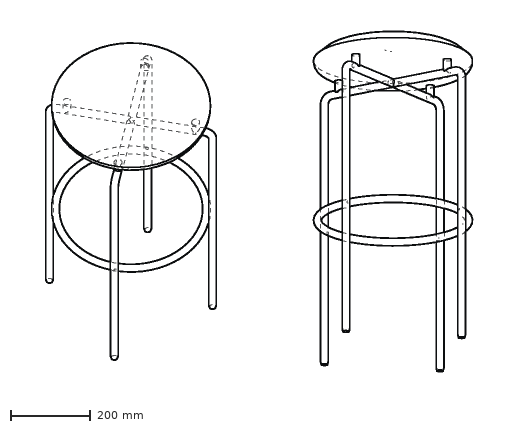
import cadquery as cq
import math

total_height = 800.0
outer_diameter = 401.0
outer_radius = outer_diameter / 2

tube_diameter = 20.0
tube_radius = tube_diameter / 2
leg_reach = 210.0
post_reach = 166.0
crossbar_height = 705.0
bend_radius = 21.0
ring_height = 344.0
foot_tip_diameter = 16.0
foot_taper_height = 8.0
foot_taper_inset = (tube_diameter - foot_tip_diameter) / 2
leg_angles = (45, 135, 225, 315)

seat_bottom = 739.0
underside_bulge = 0.7
rim_bottom = 759.5
rim_top = 765.0
underside_radius = 176.0
crown_radius = 107.0
dish_depth = 12.0
dish_slope = 0.12
shoulder_radius = 176.0
shoulder_height = 786.0


def make_leg():
    """Leg in the XZ plane, bent at the top into half a crossbar that ends on the central axis."""
    bend_start = crossbar_height - bend_radius
    bar_end = leg_reach - bend_radius
    bend_middle = bend_radius * math.sqrt(0.5)
    path = (
        cq.Workplane("XZ")
        .moveTo(leg_reach, 0)
        .lineTo(leg_reach, bend_start)
        .threePointArc((bar_end + bend_middle, bend_start + bend_middle), (bar_end, crossbar_height))
        .lineTo(0, crossbar_height)
    )
    leg = cq.Workplane("XY").center(leg_reach, 0).circle(tube_radius).sweep(path)
    foot_taper = (
        cq.Workplane("XZ")
        .moveTo(leg_reach + tube_radius - foot_taper_inset, 0)
        .lineTo(leg_reach + tube_radius, 0)
        .lineTo(leg_reach + tube_radius, foot_taper_height)
        .close()
        .revolve(360, (leg_reach, 0, 0), (leg_reach, 1, 0))
    )
    return leg.cut(foot_taper)


def make_post():
    """Upright from the crossbar axis to the underside of the seat."""
    return (
        cq.Workplane("XY", origin=(post_reach, 0, crossbar_height))
        .circle(tube_radius)
        .extrude(seat_bottom - crossbar_height)
    )


def make_footrest_ring():
    """Round tube ring that joins the inner sides of the legs."""
    ring_radius = outer_radius - tube_radius
    return cq.Workplane("XY").add(
        cq.Solid.makeTorus(ring_radius, tube_radius, cq.Vector(0, 0, ring_height), cq.Vector(0, 0, 1))
    )


def make_frame():
    """Four bent legs with their posts, joined by crossed bars and the footrest ring."""
    frame = make_footrest_ring()
    leg_and_post = make_leg().union(make_post())
    for angle in leg_angles:
        frame = frame.union(leg_and_post.rotate((0, 0, 0), (0, 0, 1), angle))
    return frame


def make_seat():
    """Round cushion with a dished top, a narrow straight rim and a rounded underside."""
    underside_curve_middle = (
        underside_radius + (outer_radius - underside_radius) * underside_bulge,
        rim_bottom - (rim_bottom - seat_bottom) * underside_bulge,
    )
    return (
        cq.Workplane("XZ")
        .moveTo(0, seat_bottom)
        .lineTo(underside_radius, seat_bottom)
        .threePointArc(underside_curve_middle, (outer_radius, rim_bottom))
        .lineTo(outer_radius, rim_top)
        .spline(
            [(shoulder_radius, shoulder_height), (crown_radius, total_height), (0, total_height - dish_depth)],
            tangents=[(-1, 1), None, (-1, 0), (-1, -dish_slope)],
            includeCurrent=True,
        )
        .close()
        .revolve(360, (0, 0, 0), (0, 1, 0))
    )


frame = make_frame()
seat = make_seat()

result = cq.Compound.makeCompound([frame.solids().val(), seat.val()])